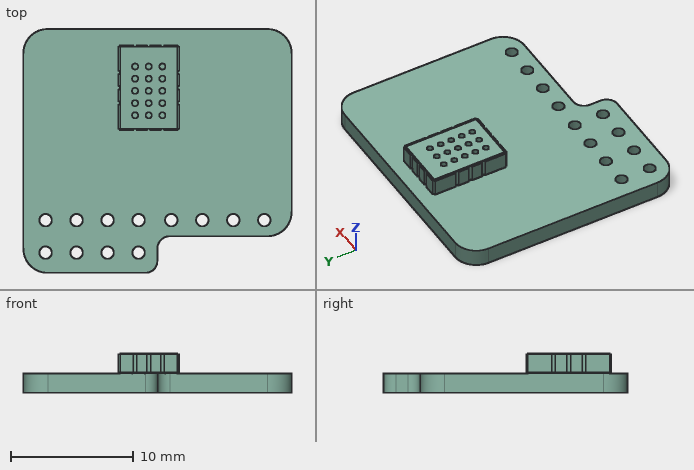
import cadquery as cq

board_width = 22.0
board_length = 20.0
board_thickness = 1.6
board_corner_radius = 2.0
notch_width = board_width / 2
notch_depth = 3.0
notch_corner_radius = 1.0

pin_hole_diameter = 1.0
pin_pitch = 2.54
pins_per_group = 4
left_group_x = -9.17
right_group_x = 1.13
back_row_y = -5.67
front_row_y = -8.33

chip_width = 5.0
chip_length = 7.0
chip_height = 1.65
chip_center_x = -0.72
chip_center_y = 5.18

grooves_per_side = 3
groove_radius = 0.15
groove_pitch_x = 1.12
groove_pitch_y = 1.25

rim_width = groove_radius
rim_step = 0.075

chip_hole_diameter = 0.5
chip_hole_columns = 3
chip_hole_rows = 5
chip_hole_pitch_x = groove_pitch_x
chip_hole_pitch_y = 1.0
chip_hole_offset_y = -0.26


def pin_positions():
    """Centres of the pin holes: a back row of two groups and a front row of one."""
    starts = [
        (left_group_x, back_row_y),
        (right_group_x, back_row_y),
        (left_group_x, front_row_y),
    ]
    return [(x + i * pin_pitch, y) for x, y in starts for i in range(pins_per_group)]


def make_board():
    """Board with rounded corners, a rounded notch and the pin holes."""
    left = -board_width / 2
    right = board_width / 2
    back = board_length / 2
    front = -board_length / 2
    notch_x = right - notch_width
    notch_y = front + notch_depth
    outline = [
        (left, front),
        (notch_x, front),
        (notch_x, notch_y),
        (right, notch_y),
        (right, back),
        (left, back),
    ]
    board = cq.Workplane("XY").polyline(outline).close().extrude(board_thickness)

    half_thickness = board_thickness / 2
    outer_corners = [(left, front), (right, notch_y), (right, back), (left, back)]
    notch_corners = [(notch_x, front), (notch_x, notch_y)]
    for corners, radius in (
        (outer_corners, board_corner_radius),
        (notch_corners, notch_corner_radius),
    ):
        for x, y in corners:
            edge = cq.selectors.NearestToPointSelector((x, y, half_thickness))
            board = board.edges("|Z").edges(edge).fillet(radius)

    holes = (
        cq.Workplane("XY")
        .pushPoints(pin_positions())
        .circle(pin_hole_diameter / 2)
        .extrude(board_thickness)
    )
    return board.cut(holes)


def groove_positions():
    """Groove axes: centred along each side face of the chip, and on its corners."""
    positions = [
        (x_side * chip_width / 2, y_side * chip_length / 2)
        for x_side in (-1, 1)
        for y_side in (-1, 1)
    ]
    for i in range(grooves_per_side):
        step = i - (grooves_per_side - 1) / 2
        for side in (-1, 1):
            positions.append((step * groove_pitch_x, side * chip_length / 2))
            positions.append((side * chip_width / 2, step * groove_pitch_y))
    return positions


def make_chip():
    """Core block with a grooved rim around it and a grid of holes, standing on the board."""
    core = (
        cq.Workplane("XY")
        .rect(chip_width - 2 * rim_width, chip_length - 2 * rim_width)
        .extrude(chip_height)
    )
    rim_height = chip_height - 2 * rim_step
    rim_base = cq.Workplane("XY").workplane(offset=rim_step)
    rim = rim_base.rect(chip_width, chip_length).extrude(rim_height)
    grooves = rim_base.pushPoints(groove_positions()).circle(groove_radius).extrude(rim_height)
    holes = (
        cq.Workplane("XY")
        .center(0, chip_hole_offset_y)
        .rarray(chip_hole_pitch_x, chip_hole_pitch_y, chip_hole_columns, chip_hole_rows)
        .circle(chip_hole_diameter / 2)
        .extrude(chip_height)
    )
    chip = rim.cut(grooves).union(core).cut(holes)
    return chip.translate((chip_center_x, chip_center_y, board_thickness))


board = make_board()
chip = make_chip()
result = cq.Compound.makeCompound([board.val(), chip.val()])